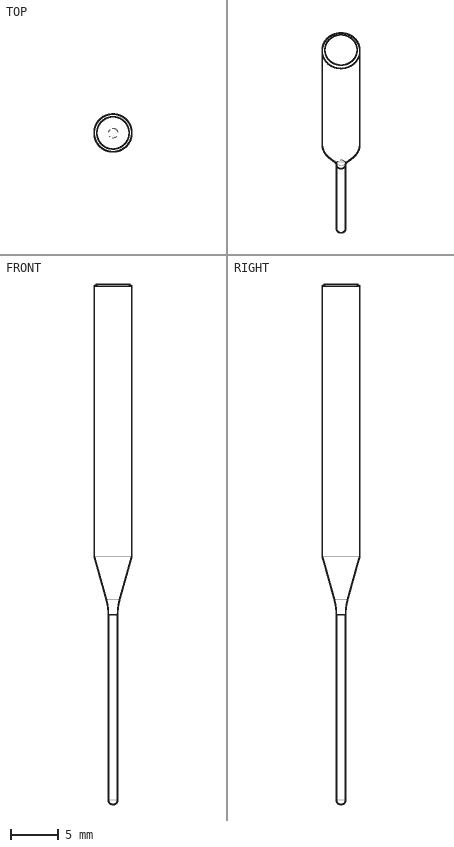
import cadquery as cq
import math

total_length = 55.0
shank_diameter = 4.0
chamfer_width = 0.3
chamfer_height = 0.2
cutter_radius = 0.5
cutter_length = 20.1
blend_height = 1.65
taper_angle = math.radians(15.7)

shank_radius = shank_diameter / 2
tip_z = -total_length / 2
top_z = total_length / 2
ball_center_z = tip_z + cutter_radius
joint_z = tip_z + cutter_length
blend_top_z = joint_z + blend_height

blend_radius = blend_height / math.sin(taper_angle)
blend_top_radius = cutter_radius + blend_radius * (1 - math.cos(taper_angle))
blend_mid_angle = taper_angle / 2
blend_mid = (
    cutter_radius + blend_radius * (1 - math.cos(blend_mid_angle)),
    joint_z + blend_radius * math.sin(blend_mid_angle),
)
taper_top_z = blend_top_z + (shank_radius - blend_top_radius) / math.tan(taper_angle)


def revolve_about_z(profile):
    """Turn a closed radius-height profile in the XZ plane about the tool axis."""
    return profile.revolve(360, (0, 0, 0), (0, 1, 0))


def make_cutter():
    """Slender cylinder with a hemispherical tip."""
    ball_mid = (
        cutter_radius * math.sin(math.pi / 4),
        ball_center_z - cutter_radius * math.cos(math.pi / 4),
    )
    profile = (
        cq.Workplane("XZ")
        .moveTo(0, tip_z)
        .threePointArc(ball_mid, (cutter_radius, ball_center_z))
        .lineTo(cutter_radius, joint_z)
        .lineTo(0, joint_z)
        .close()
    )
    return revolve_about_z(profile)


def make_shank():
    """Chamfered shank with a taper that blends down to the cutter diameter."""
    profile = (
        cq.Workplane("XZ")
        .moveTo(0, joint_z)
        .lineTo(cutter_radius, joint_z)
        .threePointArc(blend_mid, (blend_top_radius, blend_top_z))
        .lineTo(shank_radius, taper_top_z)
        .lineTo(shank_radius, top_z - chamfer_height)
        .lineTo(shank_radius - chamfer_width, top_z)
        .lineTo(0, top_z)
        .close()
    )
    return revolve_about_z(profile)


cutter = make_cutter()
shank = make_shank()

result = cq.Compound.makeCompound([cutter.val(), shank.val()])